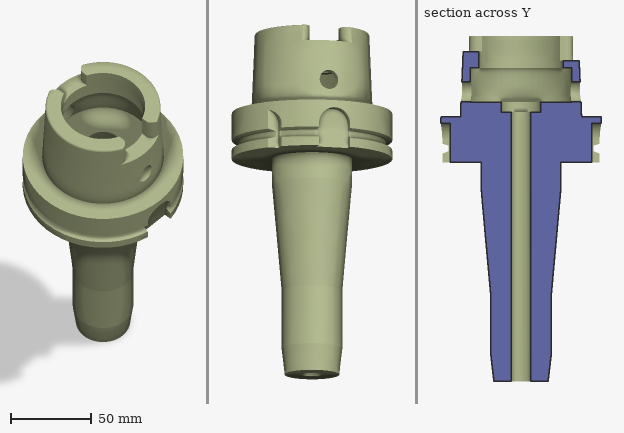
import cadquery as cq
import math

total_height = 215.0
flange_top = total_height - 50.0
flange_bottom = total_height - 79.0
neck_bottom = total_height - 95.0
cone_bottom = total_height - 162.0
tip_top = total_height - 198.5

taper_top_radius = 35.7
taper_base_radius = 37.8
rim_fillet = 1.5
flange_radius = 100.0 / 2
neck_radius = 25.0
shank_radius = 19.0
tip_radius = 17.0

groove_radius = 46.2
groove_top = total_height - 67.0
groove_bottom = total_height - 73.3
groove_upper_bevel = 1.3
groove_lower_bevel = 1.5

entry_radius = 26.2
entry_depth = 20.0
chamber_radius = 31.4
chamber_depth = 41.0
counterbore_radius = 12.0
counterbore_depth = 6.5
passage_radius = 5.8

drive_half_width = 10.0
drive_mouth_x = 32.2
drive_mouth_radius = 5.2
drive_mouth_half_width = 19.4
left_drive_depth = 9.9
right_drive_depth = 15.3

cross_hole_radius = 6.0
cross_hole_z = total_height - 34.8

notch_radius = 10.0
notch_top = total_height - 54.6
notch_floor_x = 44.0
side_notch_floor_x = 32.2
side_notch_y = 41.5

clearance = 10.8
cut_reach = flange_radius + clearance


def revolve_profile(points):
    """Revolve a closed (radius, height) outline about Z."""
    return cq.Workplane("XZ").polyline(points).close().revolve(360, (0, 0, 0), (0, 1, 0))


def make_body():
    body = revolve_profile([
        (0, 0),
        (tip_radius, 0),
        (shank_radius, tip_top),
        (shank_radius, cone_bottom),
        (neck_radius, neck_bottom),
        (neck_radius, flange_bottom),
        (flange_radius, flange_bottom),
        (flange_radius, groove_bottom),
        (groove_radius, groove_bottom + groove_lower_bevel),
        (groove_radius, groove_top - groove_upper_bevel),
        (flange_radius, groove_top),
        (flange_radius, flange_top),
        (taper_base_radius, flange_top),
        (taper_top_radius, total_height),
        (0, total_height),
    ])
    return body.faces(">Z").edges().fillet(rim_fillet)


def make_bore():
    entry_bottom = total_height - entry_depth
    chamber_floor = total_height - chamber_depth
    counterbore_floor = chamber_floor - counterbore_depth
    return revolve_profile([
        (0, -clearance),
        (passage_radius, -clearance),
        (passage_radius, counterbore_floor),
        (counterbore_radius, counterbore_floor),
        (counterbore_radius, chamber_floor),
        (chamber_radius, chamber_floor),
        (chamber_radius, entry_bottom),
        (entry_radius, entry_bottom),
        (entry_radius, total_height + clearance),
        (0, total_height + clearance),
    ])


def make_drive_slot(side, depth):
    """Slot on one side of the rim; its walls round over into a wider mouth."""
    arc_start_x = drive_mouth_x - drive_mouth_radius
    arc_end_y = drive_half_width + drive_mouth_radius
    arc_mid_x = arc_start_x + drive_mouth_radius * math.sin(math.pi / 4)
    arc_mid_y = arc_end_y - drive_mouth_radius * math.cos(math.pi / 4)
    return (
        cq.Workplane("XY", origin=(0, 0, total_height - depth))
        .moveTo(0, -drive_half_width)
        .lineTo(side * arc_start_x, -drive_half_width)
        .threePointArc((side * arc_mid_x, -arc_mid_y), (side * drive_mouth_x, -arc_end_y))
        .lineTo(side * drive_mouth_x, -drive_mouth_half_width)
        .lineTo(side * cut_reach, -drive_mouth_half_width)
        .lineTo(side * cut_reach, drive_mouth_half_width)
        .lineTo(side * drive_mouth_x, drive_mouth_half_width)
        .lineTo(side * drive_mouth_x, arc_end_y)
        .threePointArc((side * arc_mid_x, arc_mid_y), (side * arc_start_x, drive_half_width))
        .lineTo(0, drive_half_width)
        .close()
        .extrude(depth + clearance)
    )


def make_notch(side, floor_x, center_y):
    """Round-topped notch, open at the flange underside, with a flat floor facing outward."""
    arc_center_z = notch_top - notch_radius
    return (
        cq.Workplane("YZ", origin=(side * floor_x, 0, 0))
        .moveTo(center_y - notch_radius, flange_bottom)
        .lineTo(center_y - notch_radius, arc_center_z)
        .threePointArc((center_y, notch_top), (center_y + notch_radius, arc_center_z))
        .lineTo(center_y + notch_radius, flange_bottom)
        .close()
        .extrude(side * (cut_reach - floor_x))
    )


def make_cross_hole():
    return (
        cq.Workplane("YZ")
        .center(0, cross_hole_z)
        .circle(cross_hole_radius)
        .extrude(cut_reach, both=True)
    )


result = make_body().cut(make_bore()).cut(make_cross_hole())
for side, depth in ((-1, left_drive_depth), (1, right_drive_depth)):
    result = result.cut(make_drive_slot(side, depth))
    result = result.cut(make_notch(side, notch_floor_x, 0))
result = result.cut(make_notch(-1, side_notch_floor_x, side_notch_y))